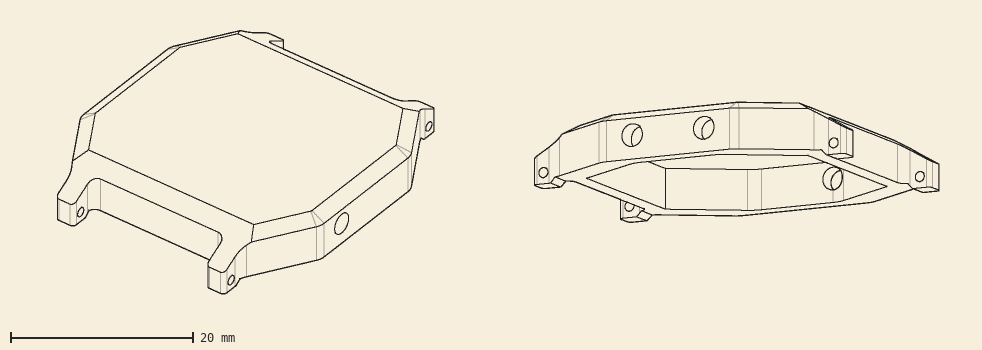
import cadquery as cq
import math

width = 33.2
length = 38.4
height = 6.2
half_width = width / 2
half_length = length / 2

body_half_length = 15.65
body_bottom = 0.6
side_corner_y = 8.15
side_corner_radius = 2.0

lug_inner_x = 9.15
lug_outer_x = 11.65
slant_end_y = 16.4
lug_inner_radius = 1.0
lug_outer_radius = 3.0
lug_tip_radius = 0.5
foot_start_y = 17.0
lug_hole_diameter = 1.1
lug_hole_y = 17.9
lug_hole_z = 1.25

bevel_width = 1.7
bevel_angle = 30.0
top_half_length = 13.5

wall = 2.0
roof = 1.0
cavity_corner_y = 5.22
cavity_corner_radius = 3.0

side_hole_diameter = 2.55
side_hole_y = 4.4
side_hole_z = 3.3

slant_angle = math.atan2(half_width - lug_outer_x, slant_end_y - side_corner_y)


def mirrored_outline(corner_points):
    """Close the outline of a +X +Y quadrant, running from the X axis to the Y axis, by mirroring it twice."""
    upper = corner_points + [(-x, y) for x, y in reversed(corner_points)]
    lower = [(-x, -y) for x, y in upper]
    return cq.Workplane("XY").polyline(upper + lower).close()


def at_corners(x, y):
    """Select the vertical edges at (x, y) and its three mirror images."""
    size = 0.05
    selector = None
    for sx in (-1, 1):
        for sy in (-1, 1):
            box = cq.selectors.BoxSelector(
                (sx * x - size, sy * y - size, -height), (sx * x + size, sy * y + size, 2 * height)
            )
            selector = box if selector is None else selector + box
    return selector


def octagon_points(half_x, half_y, corner_y):
    """Quadrant of an octagon whose slanted sides are parallel to those of the body."""
    end_x = half_x - (half_y - corner_y) * math.tan(slant_angle)
    return [(half_x, corner_y), (end_x, half_y)]


def rounded_octagon_face(inset, z):
    """Octagon moved in by `inset` from the bevel's outer edge, with concentric side corners."""
    corner_y = side_corner_y - inset * math.tan(slant_angle / 2)
    half_x = half_width - inset
    half_y = top_half_length + bevel_width - inset
    prism = mirrored_outline(octagon_points(half_x, half_y, corner_y)).extrude(height)
    prism = prism.edges(at_corners(half_x, corner_y)).fillet(side_corner_radius - inset)
    return prism.faces("<Z").wires().val().moved(cq.Location(cq.Vector(0, 0, z)))


def case_blank():
    """Body and lugs as one upright prism with rounded vertical edges."""
    rounded_corners = [
        (half_width, side_corner_y, side_corner_radius),
        (lug_outer_x, slant_end_y, lug_outer_radius),
        (lug_outer_x, half_length, lug_tip_radius),
        (lug_inner_x, half_length, lug_tip_radius),
        (lug_inner_x, body_half_length, lug_inner_radius),
    ]
    blank = mirrored_outline([(x, y) for x, y, _ in rounded_corners]).extrude(height)
    for x, y, radius in rounded_corners:
        blank = blank.edges(at_corners(x, y)).fillet(radius)
    return blank


def bevel_envelope():
    """Frustum whose slopes form the top bevel and run on down over the lugs."""
    outer_inset = bevel_width - height / math.tan(math.radians(bevel_angle))
    base = rounded_octagon_face(outer_inset, 0)
    top = rounded_octagon_face(bevel_width, height)
    return cq.Workplane(cq.Solid.makeLoft([base, top], True))


def foot_relief():
    """Material below the body, between the feet of the opposite lugs."""
    top_y = foot_start_y - body_bottom
    profile = [(-foot_start_y, 0), (foot_start_y, 0), (top_y, body_bottom), (-top_y, body_bottom)]
    return cq.Workplane("YZ").polyline(profile).close().extrude(half_width, both=True)


def cavity():
    """Octagonal pocket from the bottom up to the roof, with rounded side corners."""
    half_x = half_width - wall
    points = octagon_points(half_x, body_half_length - wall, cavity_corner_y)
    pocket = mirrored_outline(points).extrude(height - roof)
    return pocket.edges(at_corners(half_x, cavity_corner_y)).fillet(cavity_corner_radius)


def hole_along_x(y, z, diameter, x_end):
    """Round cutter from the -X side to `x_end`."""
    start = cq.Workplane("YZ", origin=(-half_width, y, z))
    return start.circle(diameter / 2).extrude(x_end + half_width)


result = case_blank().intersect(bevel_envelope()).cut(foot_relief()).cut(cavity())

result = result.cut(hole_along_x(side_hole_y, side_hole_z, side_hole_diameter, 0))
result = result.cut(hole_along_x(-side_hole_y, side_hole_z, side_hole_diameter, half_width))

for y in (-lug_hole_y, lug_hole_y):
    result = result.cut(hole_along_x(y, lug_hole_z, lug_hole_diameter, half_width))